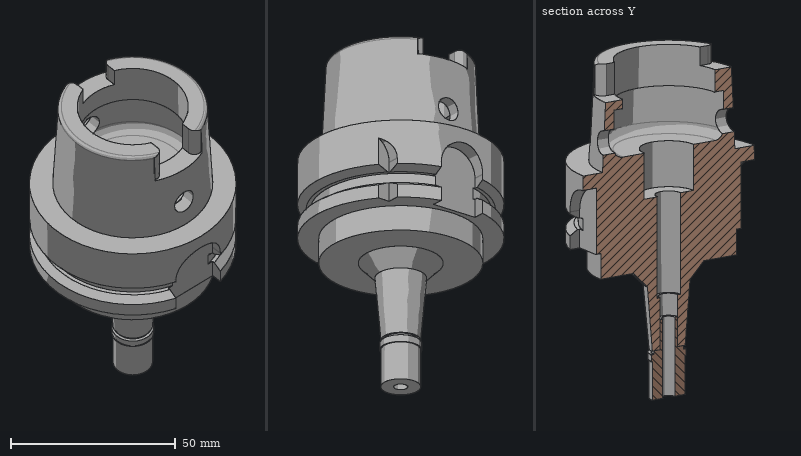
import cadquery as cq
import math


tip_radius = 6.1
tip_length = 12.3
collar_radius = 6.4
collar_height = 2.2
groove_radius = 5.5
groove_height = 1.0
spigot_radius = 3.2
spigot_length = 9.6
coolant_radius = 2.1

collar_top = tip_length + collar_height
joint_z = collar_top + groove_height
spigot_top = joint_z + spigot_length

neck_end_radius = 6.1
neck_top_radius = 7.9
neck_top = 36.2
hub_bottom = 41.2
hub_cone_radius = neck_top_radius + (hub_bottom - neck_top)
hub_radius = 25.0

flange_diameter = 63.0
flange_radius = flange_diameter / 2
flange_bottom = 49.3
flange_top = 75.0
groove_bottom = 55.3
groove_top = 59.0
gripper_bevel_height = 1.6
gripper_bevel_radius = 28.9
gripper_floor_radius = 27.6

top_z = 107.0
taper_base_radius = 24.4
taper_top_radius = 22.8
rim_fillet = 1.1
mouth_radius = 16.9
mouth_bottom = 93.9
cavity_radius = 20.0
cavity_floor = 78.8
cavity_fillet = 3.0
tube_bore_radius = 9.0
tube_bore_bottom = 64.2
passage_radius = 4.2
passage_bottom = 32.1
cross_hole_radius = 3.7
cross_hole_z = 84.2

drive_half_width = 6.3
drive_corner_fillet = 2.2
left_drive_floor = 101.1
right_drive_floor = 96.9

keyway_top = 70.3
keyway_floor = 26.6
left_keyway_width = 15.9
right_keyway_width = 18.0
notch_floor = 20.2
notch_inner_y = 20.1


def holder_blank():
    """Solid of revolution with the outer shape of the holder."""
    profile = [
        (0, joint_z),
        (neck_end_radius, joint_z),
        (neck_top_radius, neck_top),
        (hub_cone_radius, hub_bottom),
        (hub_radius, hub_bottom),
        (hub_radius, flange_bottom),
        (flange_radius, flange_bottom),
        (flange_radius, groove_bottom - gripper_bevel_height),
        (gripper_bevel_radius, groove_bottom),
        (gripper_floor_radius, groove_bottom),
        (gripper_floor_radius, groove_top),
        (gripper_bevel_radius, groove_top),
        (flange_radius, groove_top + gripper_bevel_height),
        (flange_radius, flange_top),
        (taper_base_radius, flange_top),
        (taper_top_radius, top_z),
        (0, top_z),
    ]
    blank = cq.Workplane("XZ").polyline(profile).close().revolve(360, (0, 0), (0, 1))
    return blank.faces(">Z").edges().fillet(rim_fillet)


def cylinder(radius, bottom, top):
    """Cylinder on the tool axis between two heights."""
    return cq.Workplane("XY").workplane(offset=bottom).circle(radius).extrude(top - bottom)


def holder_bores():
    """Axial cavity, coolant tube bore, coolant passage and seat of the tip, as one cutter."""
    mouth = cylinder(mouth_radius, mouth_bottom, top_z)
    cavity = cylinder(cavity_radius, cavity_floor, mouth_bottom).faces("<Z").edges().fillet(cavity_fillet)
    tube_bore = cylinder(tube_bore_radius, tube_bore_bottom, cavity_floor)
    passage = cylinder(passage_radius, passage_bottom, tube_bore_bottom)
    spigot_seat = cylinder(spigot_radius, joint_z, passage_bottom)
    return mouth.union(cavity).union(tube_bore).union(passage).union(spigot_seat)


def drive_slot(side, floor_z):
    """Cutter for a rim slot toward -X (side -1) or +X (side 1), with rounded outer corners."""
    arc_center_y = drive_half_width + drive_corner_fillet
    arc_center_distance = taper_top_radius - drive_corner_fillet
    arc_angle = math.asin(arc_center_y / arc_center_distance)
    arc_center_x = arc_center_distance * math.cos(arc_angle)
    rim_x = taper_top_radius * math.cos(arc_angle)
    rim_y = taper_top_radius * math.sin(arc_angle)
    middle_angle = (arc_angle - math.pi / 2) / 2
    middle_x = arc_center_x + drive_corner_fillet * math.cos(middle_angle)
    middle_y = arc_center_y + drive_corner_fillet * math.sin(middle_angle)
    return (
        cq.Workplane("XY")
        .workplane(offset=floor_z)
        .moveTo(0, -drive_half_width)
        .lineTo(side * arc_center_x, -drive_half_width)
        .threePointArc((side * middle_x, -middle_y), (side * rim_x, -rim_y))
        .lineTo(side * flange_radius, -rim_y)
        .lineTo(side * flange_radius, rim_y)
        .lineTo(side * rim_x, rim_y)
        .threePointArc((side * middle_x, middle_y), (side * arc_center_x, drive_half_width))
        .lineTo(0, drive_half_width)
        .close()
        .extrude(top_z - floor_z)
    )


def keyway(side, floor_distance, width, center_y=0):
    """Cutter for a round-ended flange slot, outward along X from its floor and open at the bottom."""
    end_radius = width / 2
    end_center_z = keyway_top - end_radius
    return (
        cq.Workplane("YZ")
        .workplane(offset=side * floor_distance)
        .moveTo(center_y - end_radius, flange_bottom)
        .lineTo(center_y - end_radius, end_center_z)
        .threePointArc((center_y, keyway_top), (center_y + end_radius, end_center_z))
        .lineTo(center_y + end_radius, flange_bottom)
        .close()
        .extrude(side * (flange_radius - floor_distance))
    )


def make_holder():
    cross_hole = (
        cq.Workplane("YZ")
        .center(0, cross_hole_z)
        .circle(cross_hole_radius)
        .extrude(taper_base_radius, both=True)
    )
    notch_center_y = notch_inner_y + left_keyway_width / 2
    return (
        holder_blank()
        .cut(holder_bores())
        .cut(cross_hole)
        .cut(drive_slot(-1, left_drive_floor))
        .cut(drive_slot(1, right_drive_floor))
        .cut(keyway(-1, keyway_floor, left_keyway_width))
        .cut(keyway(1, keyway_floor, right_keyway_width))
        .cut(keyway(-1, notch_floor, left_keyway_width, notch_center_y))
    )


def make_tip():
    """Cylindrical tip with a collar and a spigot that fits the holder, drilled through for coolant."""
    body = cylinder(tip_radius, 0, tip_length)
    collar = cylinder(collar_radius, tip_length, collar_top)
    groove_neck = cylinder(groove_radius, collar_top, joint_z)
    spigot = cylinder(spigot_radius, joint_z, spigot_top)
    coolant_hole = cylinder(coolant_radius, 0, spigot_top)
    return body.union(collar).union(groove_neck).union(spigot).cut(coolant_hole)


holder = make_holder()
tip = make_tip()
result = cq.Compound.makeCompound([holder.val(), tip.val()])